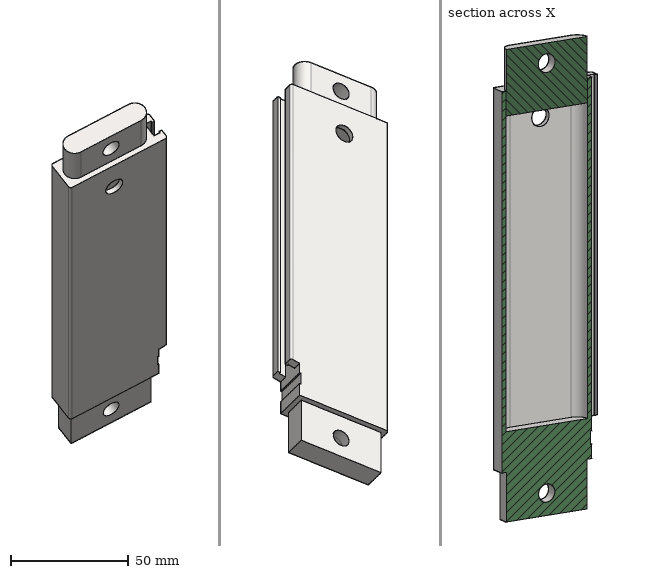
import cadquery as cq

TOTAL_HEIGHT = 209.0
HOUSING_BOTTOM = 22.0
HOUSING_TOP = 190.5
HOUSING_HEIGHT = HOUSING_TOP - HOUSING_BOTTOM

HOUSING_WIDTH = 15.0
HOUSING_DEPTH = 49.5
CORNER_RADIUS = 1.0
BACK_Y = HOUSING_DEPTH / 2

TONGUE_WIDTH = 10.0
TONGUE_DEPTH = 40.5
TONGUE_Y = -2.3

TAB_HOLE_DIAMETER = 8.0
TAB_HOLE_Z = 10.0
PLUNGER_HOLE_DIAMETER = 8.1
PLUNGER_HOLE_Z = 200.0
HOUSING_HOLE_DIAMETER = 8.5
HOUSING_HOLE_Z = 175.0

SLOT_MOUTH_WIDTH = 5.6
SLOT_INNER_WIDTH = 7.0
SLOT_LIP = 1.3
SLOT_DEPTH = 4.4

NOTCH_TOP = 40.1
NOTCH_SLOPE_DROP = 0.8
DIP_TOP = 34.3
DIP_BOTTOM = 28.5
DIP_DEPTH = 0.6

BORE_FLOOR = NOTCH_TOP
PLUNGER_BOTTOM = HOUSING_HOLE_Z + HOUSING_HOLE_DIAMETER / 2


def tongue(bottom, top):
    """Upright tongue with full-round ends."""
    return (
        cq.Workplane("XY", origin=(0, TONGUE_Y, bottom))
        .slot2D(TONGUE_DEPTH, TONGUE_WIDTH, 90)
        .extrude(top - bottom)
    )


def cross_hole(diameter, z):
    """Cutter along X, centred on the tongue."""
    return (
        cq.Workplane("YZ", origin=(0, TONGUE_Y, z))
        .circle(diameter / 2)
        .extrude(HOUSING_WIDTH, both=True)
    )


def t_slot():
    """Cutter for the slot that is wider behind its lips."""
    mouth = cq.Workplane("XY").box(
        SLOT_MOUTH_WIDTH, SLOT_DEPTH, HOUSING_HEIGHT, centered=(True, False, False)
    )
    inner = cq.Workplane("XY").box(
        SLOT_INNER_WIDTH, SLOT_DEPTH - SLOT_LIP, HOUSING_HEIGHT, centered=(True, False, False)
    )
    return mouth.union(inner).translate((0, BACK_Y - SLOT_DEPTH, HOUSING_BOTTOM))


def notch():
    """Cutter with a sloping top and a shallow dip in its floor."""
    floor_y = BACK_Y - SLOT_DEPTH
    dip_y = floor_y - DIP_DEPTH
    outline = [
        (BACK_Y, HOUSING_BOTTOM),
        (BACK_Y, NOTCH_TOP),
        (floor_y, NOTCH_TOP - NOTCH_SLOPE_DROP),
        (floor_y, DIP_TOP),
        (dip_y, DIP_TOP),
        (dip_y, DIP_BOTTOM),
        (floor_y, DIP_BOTTOM),
        (floor_y, HOUSING_BOTTOM),
    ]
    return cq.Workplane("YZ").polyline(outline).close().extrude(HOUSING_WIDTH, both=True)


def make_housing():
    """Slotted housing with a blind bore and a fixed rectangular tab below."""
    body = (
        cq.Workplane("XY", origin=(0, 0, HOUSING_BOTTOM))
        .rect(HOUSING_WIDTH, HOUSING_DEPTH)
        .extrude(HOUSING_HEIGHT)
        .edges("|Z")
        .fillet(CORNER_RADIUS)
    )
    tab = (
        cq.Workplane("XY", origin=(0, TONGUE_Y, 0))
        .rect(TONGUE_WIDTH, TONGUE_DEPTH)
        .extrude(HOUSING_BOTTOM)
    )
    return (
        body.cut(t_slot())
        .cut(notch())
        .cut(tongue(BORE_FLOOR, HOUSING_TOP))
        .cut(cross_hole(HOUSING_HOLE_DIAMETER, HOUSING_HOLE_Z))
        .union(tab)
        .cut(cross_hole(TAB_HOLE_DIAMETER, TAB_HOLE_Z))
    )


def make_plunger():
    """Round-ended tongue that fills the mouth of the bore."""
    return tongue(PLUNGER_BOTTOM, TOTAL_HEIGHT).cut(cross_hole(PLUNGER_HOLE_DIAMETER, PLUNGER_HOLE_Z))


housing = make_housing()
plunger = make_plunger()
result = cq.Compound.makeCompound([housing.val(), plunger.val()])